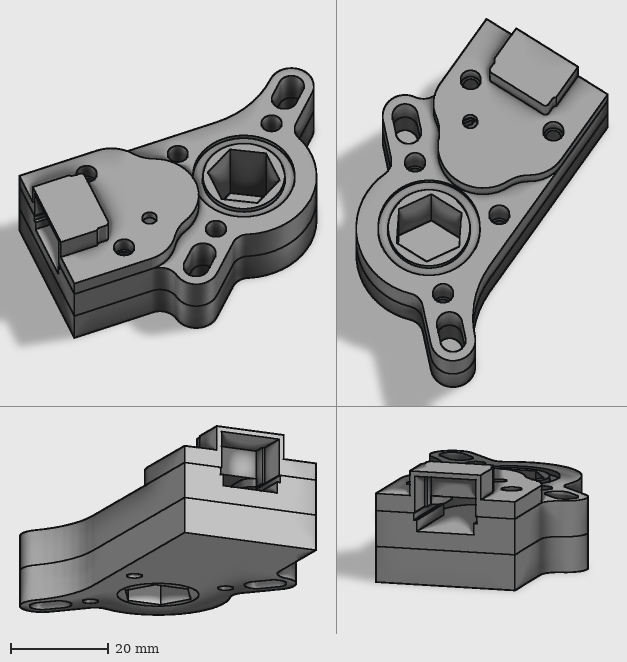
import cadquery as cq
import math

HOUSING_HEIGHT = 7.5
HOUSING_TOP = 2 * HOUSING_HEIGHT
COVER_THICKNESS = 3.6
COVER_TOP = HOUSING_TOP + COVER_THICKNESS
TOTAL_HEIGHT = 23.75

BODY_RADIUS = 15.0
FRONT_Y = -43.75
LUG_RADIUS = 4.625
LUG_OFFSET = 17.82
LUG_BLEND_RADIUS = 3.5
FOOT_BLEND_RADIUS = 4.0
SLOT_WIDTH = 5.25
SLOT_TRAVEL = 3.6

HOUSING_SCREW_OFFSET = 10.42
COVER_SCREW_X = 10.22
COVER_SCREW_Y = -30.75
SCREW_HOLE_DIAMETER = 3.2
INSERT_HOLE_DIAMETER = 4.2

HUB_DIAMETER = 16.8
HEX_ACROSS_FLATS = 12.9
BEARING_BORE = 17.0
BEARING_DIAMETER = 23.0
BEARING_WIDTH = 4.0
BEARING_POCKET_DIAMETER = 23.2
LIP_DIAMETER = 21.0
LIP_THICKNESS = 1.0
BEARING_TOP = HOUSING_TOP - LIP_THICKNESS
BEARING_BOTTOM = BEARING_TOP - BEARING_WIDTH

CHAMBER_Y = -20.05
CHAMBER_FLOOR = 11.15
CHAMBER_DIAMETER = 16.0
CHANNEL_WIDTH = 12.3
LEDGE_LEVEL = 13.5
LEDGE_DIAMETER = 17.0
LEDGE_CHANNEL_WIDTH = 13.6

COVER_NOSE_DIAMETER = 18.6
COVER_SHOULDER_RADIUS = 7.8
COVER_SHOULDER_Y = -26.5
COVER_WAIST_RADIUS = 8.0
COVER_RECESS_DEPTH = 1.75
THROAT_WIDTH = 7.5
THROAT_CORNER_RADIUS = 2.5
PIN_HOLE_DIAMETER = 3.0
PIN_HOLE_X = 5.2
PIN_HOLE_Y = -23.05

HOOD_WALL = 1.05
HOOD_WIDTH = 15.3
HOOD_NECK_WIDTH = 14.4
HOOD_BACK_Y = -32.73
HOOD_CORNER_RADIUS = 0.85
NECK_END_Y = -34.9
STEP_Y = -35.7


def point_on(centre, radius, direction):
    """Point of a circle in the given direction, which need not be a unit vector."""
    reach = radius / math.hypot(*direction)
    return (centre[0] + direction[0] * reach, centre[1] + direction[1] * reach)


def between(start, end):
    """Vector from one point to another."""
    return (end[0] - start[0], end[1] - start[1])


def short_arc_middle(centre, start, end):
    """Middle of the shorter arc about a centre that joins two points."""
    to_start = between(centre, start)
    to_end = between(centre, end)
    middle = (to_start[0] + to_end[0], to_start[1] + to_end[1])
    return point_on(centre, math.hypot(*to_start), middle)


def mirrored(point):
    """Reflect a point in the diagonal that swaps the two lugs."""
    return (point[1], point[0])


def disc(diameter, bottom, top, x=0, y=0):
    """Upright cylinder between two levels."""
    return cq.Workplane("XY", origin=(x, y, bottom)).circle(diameter / 2).extrude(top - bottom)


def channel(width, back_y, bottom, top):
    """Block that runs from the front face back to back_y, centred on X = 0."""
    return (
        cq.Workplane("XY", origin=(0, FRONT_Y, bottom))
        .rect(width, 2 * (back_y - FRONT_Y))
        .extrude(top - bottom)
    )


def housing_blank(bottom):
    """One housing half: straight front part, round hub end and two slotted lugs."""
    origin = (0, 0)
    outward = (1, 1)
    right_lug = (LUG_OFFSET, -LUG_OFFSET)
    left_lug = mirrored(right_lug)

    foot_x = BODY_RADIUS + FOOT_BLEND_RADIUS
    foot_drop = math.sqrt((LUG_RADIUS + FOOT_BLEND_RADIUS) ** 2 - (foot_x - LUG_OFFSET) ** 2)
    foot = (foot_x, -LUG_OFFSET - foot_drop)
    foot_start = (BODY_RADIUS, foot[1])
    foot_end = point_on(right_lug, LUG_RADIUS, between(right_lug, foot))

    blend_height = LUG_RADIUS + LUG_BLEND_RADIUS
    blend_reach = math.sqrt((BODY_RADIUS + LUG_BLEND_RADIUS) ** 2 - blend_height**2)
    blend = (
        (blend_height + blend_reach) / math.sqrt(2),
        (blend_height - blend_reach) / math.sqrt(2),
    )
    flank_start = point_on(right_lug, LUG_RADIUS, outward)
    flank_end = point_on(blend, LUG_BLEND_RADIUS, (-1, -1))
    blend_end = point_on(origin, BODY_RADIUS, blend)
    blend_middle = short_arc_middle(blend, flank_end, blend_end)

    overhang = LUG_OFFSET - BODY_RADIUS
    sweep_radius = (overhang**2 + LUG_OFFSET**2 - LUG_RADIUS**2) / (2 * (LUG_RADIUS + overhang))
    sweep = (-BODY_RADIUS - sweep_radius, 0)
    sweep_start = point_on(left_lug, LUG_RADIUS, between(left_lug, sweep))
    sweep_end = (-BODY_RADIUS, 0)

    blank = (
        cq.Workplane("XY", origin=(0, 0, bottom))
        .moveTo(-BODY_RADIUS, FRONT_Y)
        .lineTo(BODY_RADIUS, FRONT_Y)
        .lineTo(*foot_start)
        .threePointArc(short_arc_middle(foot, foot_start, foot_end), foot_end)
        .threePointArc(point_on(right_lug, LUG_RADIUS, right_lug), flank_start)
        .lineTo(*flank_end)
        .threePointArc(blend_middle, blend_end)
        .threePointArc(point_on(origin, BODY_RADIUS, outward), mirrored(blend_end))
        .threePointArc(mirrored(blend_middle), mirrored(flank_end))
        .lineTo(*mirrored(flank_start))
        .threePointArc(point_on(left_lug, LUG_RADIUS, left_lug), sweep_start)
        .threePointArc(short_arc_middle(sweep, sweep_start, sweep_end), sweep_end)
        .close()
        .extrude(HOUSING_HEIGHT)
    )

    slot_centre = LUG_OFFSET - SLOT_TRAVEL / 2 / math.sqrt(2)
    slots = (
        cq.Workplane("XY", origin=(0, 0, bottom))
        .pushPoints([(slot_centre, -slot_centre), (-slot_centre, slot_centre)])
        .slot2D(SLOT_TRAVEL + SLOT_WIDTH, SLOT_WIDTH, -45)
        .extrude(HOUSING_HEIGHT)
    )
    return blank.cut(slots)


def screw_holes(places, diameter, bottom, top):
    """Equal upright holes at the given places."""
    return (
        cq.Workplane("XY", origin=(0, 0, bottom))
        .pushPoints(places)
        .circle(diameter / 2)
        .extrude(top - bottom)
    )


HOUSING_SCREWS = [
    (-HOUSING_SCREW_OFFSET, HOUSING_SCREW_OFFSET),
    (-HOUSING_SCREW_OFFSET, -HOUSING_SCREW_OFFSET),
    (HOUSING_SCREW_OFFSET, -HOUSING_SCREW_OFFSET),
]
COVER_SCREWS = [(-COVER_SCREW_X, COVER_SCREW_Y), (COVER_SCREW_X, COVER_SCREW_Y)]


def make_lower_housing():
    """Lower half with the hub bore and the screw clearance holes."""
    return (
        housing_blank(0)
        .cut(disc(HUB_DIAMETER, 0, HOUSING_HEIGHT))
        .cut(screw_holes(HOUSING_SCREWS, SCREW_HOLE_DIAMETER, 0, HOUSING_HEIGHT))
    )


def make_upper_housing():
    """Upper half with the bearing seat, the insert holes and the stepped sensor chamber."""
    return (
        housing_blank(HOUSING_HEIGHT)
        .cut(disc(HUB_DIAMETER, HOUSING_HEIGHT, BEARING_BOTTOM))
        .cut(disc(BEARING_POCKET_DIAMETER, BEARING_BOTTOM, BEARING_TOP))
        .cut(disc(LIP_DIAMETER, BEARING_TOP, HOUSING_TOP))
        .cut(screw_holes(HOUSING_SCREWS, INSERT_HOLE_DIAMETER, HOUSING_HEIGHT, HOUSING_TOP))
        .cut(screw_holes(COVER_SCREWS, SCREW_HOLE_DIAMETER, HOUSING_HEIGHT, HOUSING_TOP))
        .cut(disc(CHAMBER_DIAMETER, CHAMBER_FLOOR, HOUSING_TOP, y=CHAMBER_Y))
        .cut(channel(CHANNEL_WIDTH, CHAMBER_Y, CHAMBER_FLOOR, HOUSING_TOP))
        .cut(disc(LEDGE_DIAMETER, LEDGE_LEVEL, HOUSING_TOP, y=CHAMBER_Y))
        .cut(channel(LEDGE_CHANNEL_WIDTH, CHAMBER_Y, LEDGE_LEVEL, HOUSING_TOP))
    )


def make_hub():
    """Plain round hub with a hexagonal bore."""
    hex_corner_diameter = HEX_ACROSS_FLATS / math.cos(math.pi / 6)
    bore = cq.Workplane("XY").polygon(6, hex_corner_diameter).extrude(HOUSING_TOP)
    return disc(HUB_DIAMETER, 0, HOUSING_TOP).cut(bore)


def make_bearing():
    """Bearing ring around the hub, held under the lip of the upper housing."""
    ring = disc(BEARING_DIAMETER, BEARING_BOTTOM, BEARING_TOP)
    return ring.cut(disc(BEARING_BORE, BEARING_BOTTOM, BEARING_TOP))


def cover_plate():
    """Flat plate with a round nose that widens through hollow waists to the full width."""
    nose = (0, CHAMBER_Y)
    nose_radius = COVER_NOSE_DIAMETER / 2
    shoulder = (BODY_RADIUS - COVER_SHOULDER_RADIUS, COVER_SHOULDER_Y)

    span = between(nose, shoulder)
    distance = math.hypot(*span)
    nose_side = nose_radius + COVER_WAIST_RADIUS
    shoulder_side = COVER_SHOULDER_RADIUS + COVER_WAIST_RADIUS
    along = (nose_side**2 - shoulder_side**2 + distance**2) / (2 * distance)
    across = math.sqrt(nose_side**2 - along**2)
    waist = (
        nose[0] + (along * span[0] - across * span[1]) / distance,
        nose[1] + (along * span[1] + across * span[0]) / distance,
    )

    shoulder_start = (BODY_RADIUS, COVER_SHOULDER_Y)
    waist_start = point_on(waist, COVER_WAIST_RADIUS, between(waist, shoulder))
    waist_end = point_on(waist, COVER_WAIST_RADIUS, between(waist, nose))
    nose_tip = (0, CHAMBER_Y + nose_radius)
    return (
        cq.Workplane("XY", origin=(0, 0, HOUSING_TOP))
        .moveTo(0, FRONT_Y)
        .lineTo(BODY_RADIUS, FRONT_Y)
        .lineTo(*shoulder_start)
        .threePointArc(short_arc_middle(shoulder, shoulder_start, waist_start), waist_start)
        .threePointArc(short_arc_middle(waist, waist_start, waist_end), waist_end)
        .threePointArc(short_arc_middle(nose, waist_end, nose_tip), nose_tip)
        .mirrorY()
        .extrude(COVER_THICKNESS)
    )


def connector_hood():
    """Raised box over the front opening, narrower at its back, with rounded corners."""
    half_width = HOOD_WIDTH / 2
    half_neck = HOOD_NECK_WIDTH / 2
    return (
        cq.Workplane("XY", origin=(0, 0, HOUSING_TOP))
        .moveTo(0, HOOD_BACK_Y)
        .lineTo(half_neck - HOOD_CORNER_RADIUS, HOOD_BACK_Y)
        .radiusArc((half_neck, HOOD_BACK_Y - HOOD_CORNER_RADIUS), HOOD_CORNER_RADIUS)
        .lineTo(half_neck, NECK_END_Y)
        .tangentArcPoint((half_width, STEP_Y), relative=False)
        .lineTo(half_width, FRONT_Y)
        .lineTo(0, FRONT_Y)
        .mirrorY()
        .extrude(TOTAL_HEIGHT - HOUSING_TOP)
    )


def throat():
    """Passage in the underside of the cover from the hood to the sensor chamber."""
    half_throat = THROAT_WIDTH / 2
    mouth_y = HOOD_BACK_Y - HOOD_WALL
    corner_y = mouth_y + THROAT_CORNER_RADIUS
    return (
        cq.Workplane("XY", origin=(0, 0, HOUSING_TOP))
        .moveTo(0, CHAMBER_Y)
        .lineTo(half_throat, CHAMBER_Y)
        .lineTo(half_throat, corner_y)
        .radiusArc((half_throat + THROAT_CORNER_RADIUS, mouth_y), -THROAT_CORNER_RADIUS)
        .lineTo(0, mouth_y)
        .mirrorY()
        .extrude(COVER_RECESS_DEPTH)
    )


def make_cover():
    """Cover plate and connector hood in one piece, hollowed from below and from the front."""
    ceiling = TOTAL_HEIGHT - HOOD_WALL
    recess_top = HOUSING_TOP + COVER_RECESS_DEPTH
    wide_inside = HOOD_WIDTH - 2 * HOOD_WALL
    return (
        cover_plate()
        .union(connector_hood())
        .cut(channel(wide_inside, STEP_Y - HOOD_WALL, HOUSING_TOP, ceiling))
        .cut(channel(CHANNEL_WIDTH, HOOD_BACK_Y - HOOD_WALL, HOUSING_TOP, ceiling))
        .cut(throat())
        .cut(disc(CHAMBER_DIAMETER, HOUSING_TOP, recess_top, y=CHAMBER_Y))
        .cut(screw_holes(COVER_SCREWS, INSERT_HOLE_DIAMETER, HOUSING_TOP, COVER_TOP))
        .cut(disc(PIN_HOLE_DIAMETER, HOUSING_TOP, COVER_TOP, PIN_HOLE_X, PIN_HOLE_Y))
    )


lower_housing = make_lower_housing()
upper_housing = make_upper_housing()
hub = make_hub()
bearing = make_bearing()
cover = make_cover()

result = cq.Compound.makeCompound(
    [lower_housing.val(), upper_housing.val(), hub.val(), bearing.val(), cover.val()]
)